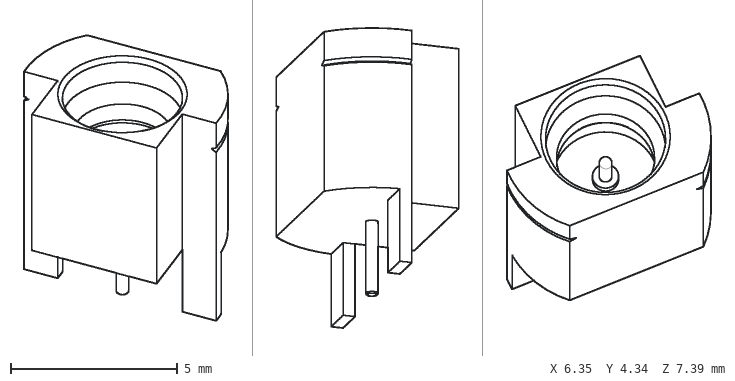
import cadquery as cq
import math

body_height = 5.08
flange_diameter = 6.35
block_width = 4.11
block_front = -2.057
flange_back = 2.286

leg_length = 2.31
leg_front = -0.178
leg_thickness = 0.381

rim_groove_depth = 1.005
rim_groove_width = 0.168
rim_groove_angle = 60.0

mouth_diameter = 3.89
entry_diameter = 3.61
throat_diameter = 2.95
recess_diameter = 3.17
entry_end_depth = 0.885
throat_end_depth = 2.05
floor_depth = 2.9
cone_half_angle = 30.0

pin_diameter = 0.38
pin_tip_depth = 1.6
pin_end_chamfer = 0.04
shoulder_diameter = 0.79
shoulder_height = 0.2

flange_radius = flange_diameter / 2
pin_radius = pin_diameter / 2
cone_slope = math.tan(math.radians(cone_half_angle))
mouth_depth = (mouth_diameter - entry_diameter) / 2
throat_start_depth = entry_end_depth + (entry_diameter - throat_diameter) / 2 / cone_slope
recess_start_depth = throat_end_depth + (recess_diameter - throat_diameter) / 2 / cone_slope


def box(x_min, x_max, y_min, y_max, z_min, z_max):
    size = (x_max - x_min, y_max - y_min, z_max - z_min)
    return cq.Workplane("XY").box(*size, centered=False).translate((x_min, y_min, z_min))


def revolve_profile(profile):
    """Turn a closed profile of (radius, z) points about the Z axis."""
    return profile.close().revolve(360, (0, 0, 0), (0, 1, 0))


def make_rim_groove():
    """V-groove around the round edge of the flange."""
    middle = body_height - rim_groove_depth
    half_width = rim_groove_width / 2
    slope = math.tan(math.radians(rim_groove_angle / 2))
    bottom_radius = flange_radius - half_width / slope
    outer_radius = flange_radius + half_width / slope
    opening = 2 * half_width
    return revolve_profile(
        cq.Workplane("XZ").polyline([
            (bottom_radius, middle),
            (outer_radius, middle + opening),
            (outer_radius, middle - opening),
        ])
    )


def make_flange():
    """Round flange with a flat back, cut straight across at the front of the legs."""
    disc = cq.Workplane("XY").circle(flange_radius).extrude(body_height)
    keep = box(-flange_radius, flange_radius, leg_front, flange_back, 0, body_height)
    return disc.intersect(keep).cut(make_rim_groove())


def make_block():
    """Square block that surrounds the front half of the bore."""
    half_width = block_width / 2
    return box(-half_width, half_width, block_front, 0, 0, body_height)


def make_legs():
    """Two solder legs hanging below the sides of the flange."""
    inner = block_width / 2
    bars = box(inner, flange_radius, leg_front, leg_front + leg_thickness, -leg_length, 0)
    bars = bars.union(bars.mirror("YZ"))
    rim = cq.Workplane("XY").circle(flange_radius).extrude(-leg_length)
    return bars.intersect(rim)


def make_bore():
    """Stepped socket: lead-in, entry bore, cone, throat and a wider recess below it."""
    sections = [
        (mouth_diameter, 0),
        (entry_diameter, mouth_depth),
        (entry_diameter, entry_end_depth),
        (throat_diameter, throat_start_depth),
        (throat_diameter, throat_end_depth),
        (recess_diameter, recess_start_depth),
        (recess_diameter, floor_depth),
    ]
    wall = [(diameter / 2, body_height - depth) for diameter, depth in sections]
    axis_ends = [(0, body_height - floor_depth), (0, body_height)]
    return revolve_profile(cq.Workplane("XZ").polyline(wall + axis_ends))


def make_contact():
    """Centre pin with a domed tip, a shoulder on the socket floor and a chamfered tail."""
    tip = body_height - pin_tip_depth
    dome_start = tip - pin_radius
    dome_middle = (pin_radius * math.sqrt(0.5), dome_start + pin_radius * math.sqrt(0.5))
    pin = revolve_profile(
        cq.Workplane("XZ")
        .moveTo(0, -leg_length)
        .lineTo(pin_radius - pin_end_chamfer, -leg_length)
        .lineTo(pin_radius, -leg_length + pin_end_chamfer)
        .lineTo(pin_radius, dome_start)
        .threePointArc(dome_middle, (0, tip))
    )
    floor = cq.Workplane("XY").workplane(offset=body_height - floor_depth)
    return pin.union(floor.circle(shoulder_diameter / 2).extrude(shoulder_height))


housing = make_flange().union(make_block()).union(make_legs()).cut(make_bore())
result = housing.union(make_contact())